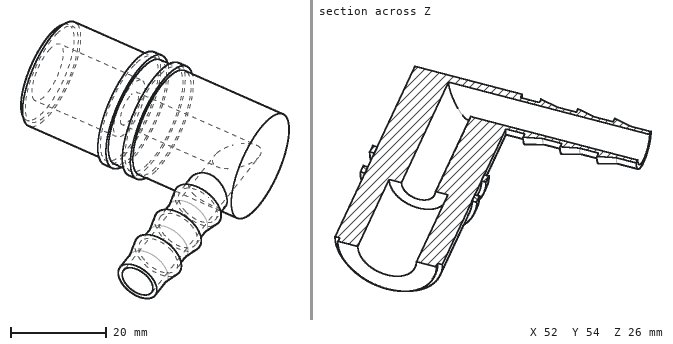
import cadquery as cq

housing_length = 52.0
housing_dia = 24.0
nose_dia = 22.0
nose_length = 1.0
socket_dia = 13.0
socket_depth = 20.0

ring_dia = 26.0
ring_width = 2.0
ring_starts = (20.0, 26.0)

overall_depth = 54.0
tail_tip = overall_depth - ring_dia / 2
tail_dia = 9.5
bore_dia = 7.5
barb_dia = 11.5
barb_length = 4.0
barb_pitch = 8.2
barb_count = 3
tip_land = 4.5
tail_x = housing_length - barb_dia / 2


def cylinder_x(dia, start, length):
    """Cylinder on the housing axis, from X = start."""
    return cq.Workplane("YZ", origin=(start, 0, 0)).circle(dia / 2).extrude(length)


def hose_tail():
    """Barbed stem along -Y, not yet bored, from the housing axis to the tip."""
    tail = cq.Workplane("XZ", origin=(tail_x, 0, 0)).circle(tail_dia / 2).extrude(tail_tip)
    for i in range(barb_count):
        barb_tip = tail_tip - tip_land - i * barb_pitch
        barb = (
            cq.Workplane("XZ", origin=(tail_x, -(barb_tip - barb_length), 0))
            .circle(barb_dia / 2)
            .workplane(offset=barb_length)
            .circle(tail_dia / 2)
            .loft()
        )
        tail = tail.union(barb)
    return tail


def elbow_bore():
    """Flow passage from the socket to the tail tip, with a mitred right-angle corner."""
    path = cq.Workplane("XY").polyline([(0, 0), (tail_x, 0), (tail_x, -tail_tip)])
    return cq.Workplane("YZ").circle(bore_dia / 2).sweep(path, transition="right")


def make_housing():
    """Housing with its nose, hose tail, socket and flow passage."""
    nose = cylinder_x(nose_dia, 0, nose_length)
    barrel = cylinder_x(housing_dia, nose_length, housing_length - nose_length)
    socket = cylinder_x(socket_dia, 0, socket_depth)
    return nose.union(barrel).union(hose_tail()).cut(socket).cut(elbow_bore())


def make_ring(start):
    """Plain ring that fits round the housing, from X = start."""
    return cylinder_x(ring_dia, start, ring_width).cut(cylinder_x(housing_dia, start, ring_width))


housing = make_housing().solids()
rings = [make_ring(start).solids() for start in ring_starts]

result = cq.Compound.makeCompound([housing.val(), *[ring.val() for ring in rings]])